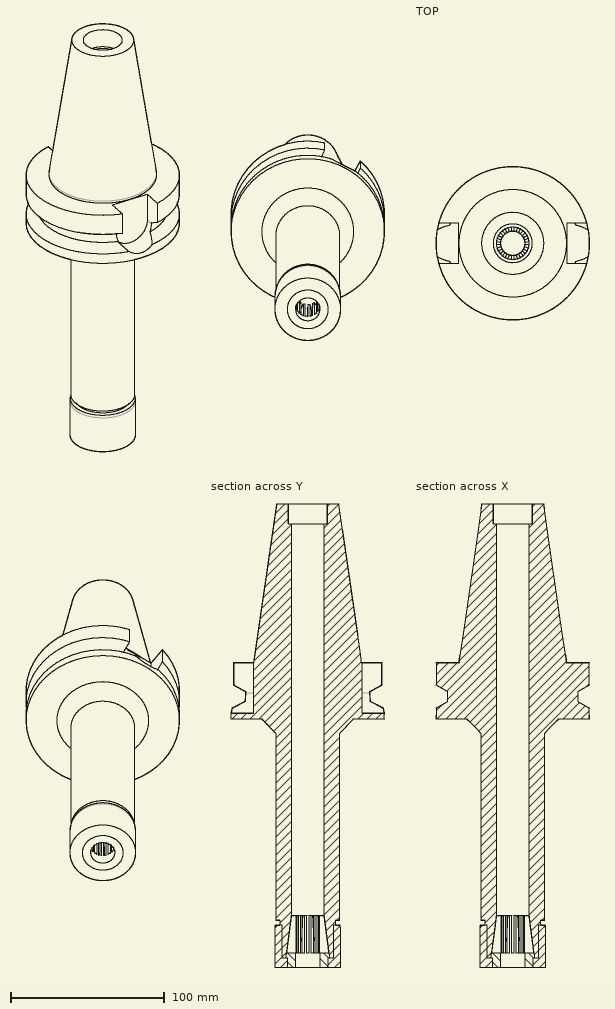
import cadquery as cq

total_height = 301.8
flange_top = 198.5
gauge_height = 200.0
cone_height = 9.5
shank_bottom = 30.8
nut_height = 27.8
nose_bottom = 6.0

taper_small_radius = 20.2
taper_large_radius = 35.0
flange_diameter = 100.0
flange_radius = flange_diameter / 2
groove_radius = 42.5
upper_rim_height = 14.8
groove_chamfer = 4.2
groove_floor_height = 6.3
lower_rim_height = 7.2
cone_large_radius = 30.0
shank_radius = 20.8
neck_radius = 18.0
nose_radius = 17.0

counterbore_radius = 12.7
counterbore_depth = 13.0
bore_radius = 10.5

drive_slot_width = 26.3
drive_slot_depth = 33.0
drive_slot_floor = 35.3

collet_height = 33.8
collet_seat_radius = 14.2
collet_nose_radius = 13.3
collet_bore_radius = 7.8
collet_slot_count = 16
collet_slot_width = 1.8
collet_slot_depth = 24.0
nut_radius = 21.5
nut_chamfer_width = 0.3
nut_chamfer_height = 1.8


def revolve_profile(points):
    """Revolve a closed (radius, height) outline around the Z axis."""
    return cq.Workplane("XZ").polyline(points).close().revolve(360, (0, 0, 0), (0, 1, 0))


def make_drive_slot():
    """Cutter on the +X side: a vertical slot with a round lower end."""
    end_radius = drive_slot_width / 2
    arc_center = flange_top - drive_slot_depth + end_radius
    return (
        cq.Workplane("YZ", origin=(drive_slot_floor, 0, 0))
        .moveTo(-end_radius, flange_top)
        .lineTo(-end_radius, arc_center)
        .threePointArc((0, arc_center - end_radius), (end_radius, arc_center))
        .lineTo(end_radius, flange_top)
        .close()
        .extrude(flange_radius)
    )


def make_holder():
    """Taper shank holder with a grooved flange and a conical collet seat."""
    groove_top = flange_top - upper_rim_height
    groove_floor_top = groove_top - groove_chamfer
    groove_floor_bottom = groove_floor_top - groove_floor_height
    groove_bottom = groove_floor_bottom - groove_chamfer
    flange_bottom = groove_bottom - lower_rim_height
    counterbore_bottom = total_height - counterbore_depth

    body = revolve_profile([
        (counterbore_radius, total_height),
        (taper_small_radius, total_height),
        (taper_large_radius, gauge_height),
        (taper_large_radius, flange_top),
        (flange_radius, flange_top),
        (flange_radius, groove_top),
        (groove_radius, groove_floor_top),
        (groove_radius, groove_floor_bottom),
        (flange_radius, groove_bottom),
        (flange_radius, flange_bottom),
        (cone_large_radius, flange_bottom),
        (shank_radius, flange_bottom - cone_height),
        (shank_radius, shank_bottom),
        (neck_radius, shank_bottom),
        (neck_radius, nut_height),
        (nose_radius, nut_height),
        (nose_radius, nose_bottom),
        (collet_seat_radius, nose_bottom),
        (bore_radius, collet_height),
        (bore_radius, counterbore_bottom),
        (counterbore_radius, counterbore_bottom),
    ])
    for angle in (0, 180):
        body = body.cut(make_drive_slot().rotate((0, 0, 0), (0, 0, 1), angle))
    return body


def make_collet():
    """Conical collet with blind radial slots cut down from its rear face."""
    body = revolve_profile([
        (collet_bore_radius, 0),
        (collet_nose_radius, 0),
        (collet_nose_radius, nose_bottom),
        (collet_seat_radius, nose_bottom),
        (bore_radius, collet_height),
        (collet_bore_radius, collet_height),
    ])
    slot = (
        cq.Workplane("XY", origin=(0, 0, collet_height))
        .rect(collet_seat_radius, collet_slot_width, centered=(False, True))
        .extrude(-collet_slot_depth)
    )
    for index in range(collet_slot_count):
        angle = index * 360 / collet_slot_count
        body = body.cut(slot.rotate((0, 0, 0), (0, 0, 1), angle))
    return body


def make_nut():
    """Clamping nut around the holder nose, with a front wall holding the collet."""
    return revolve_profile([
        (collet_nose_radius, 0),
        (nut_radius, 0),
        (nut_radius, nut_height - nut_chamfer_height),
        (nut_radius - nut_chamfer_width, nut_height),
        (nose_radius, nut_height),
        (nose_radius, nose_bottom),
        (collet_nose_radius, nose_bottom),
    ])


holder = make_holder()
collet = make_collet()
nut = make_nut()

result = cq.Compound.makeCompound([
    holder.solids().val(),
    collet.solids().val(),
    nut.val(),
])